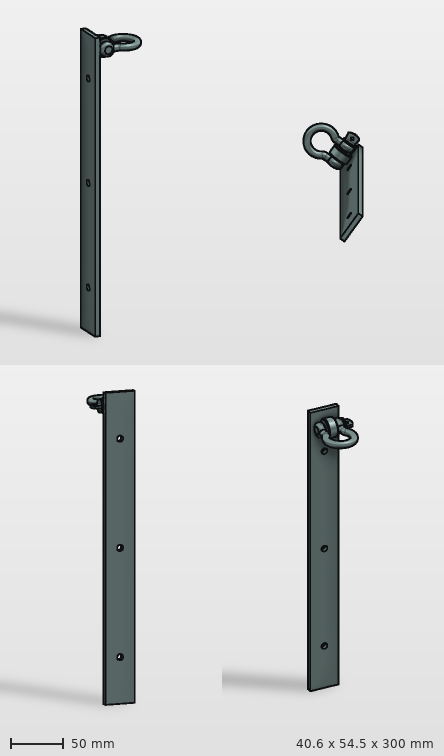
import cadquery as cq
import math

PLATE_WIDTH = 30.0
PLATE_THICKNESS = 5.0
PLATE_HEIGHT = 300.0
PLATE_HOLE_DIAMETER = 6.0
PLATE_HOLE_SPACING = 105.0

LUG_RADIUS = 10.0
LUG_WIDTH = 10.0
LUG_CHAMFER = 1.0

PIN_Y = PLATE_THICKNESS + LUG_RADIUS
PIN_Z = PLATE_HEIGHT - 15.0
PIN_RADIUS = 4.0

ROD_RADIUS = 3.5
BOW_RADIUS = 13.5
BOW_Y = 37.5
LEG_X = 9.5
BEND_RADIUS = 4.5
EYE_RADIUS = 7.5
EYE_WIDTH = 7.5
EYE_FILLET = 3.3

COLLAR_RADIUS = 6.5
COLLAR_THICKNESS = 1.65
TAB_THICKNESS = 2.5
TAB_LENGTH = 8.7
TAB_ROOT_WIDTH = 10.8
TAB_SHOULDER_WIDTH = 12.5
TAB_TIP_BULGE = 1.8
TAB_HOLE_DIAMETER = 2.7
TAB_HOLE_DISTANCE = 4.0
TAB_ROOT_FILLET = 1.05

EYE_OUTER_X = LEG_X + EYE_WIDTH / 2


def x_cylinder(radius, start_x, length):
    """Cylinder on the pin axis, running in +X from start_x."""
    return cq.Workplane("YZ", origin=(start_x, PIN_Y, PIN_Z)).circle(radius).extrude(length)


def make_plate():
    plate = cq.Workplane("XY").box(
        PLATE_WIDTH, PLATE_THICKNESS, PLATE_HEIGHT, centered=(True, False, False)
    )
    holes = (
        cq.Workplane("XZ", origin=(0, 0, PLATE_HEIGHT / 2))
        .rarray(3, PLATE_HOLE_SPACING, 1, 3)
        .circle(PLATE_HOLE_DIAMETER / 2)
        .extrude(-PLATE_THICKNESS)
    )
    return plate.cut(holes)


def make_lug():
    lug = x_cylinder(LUG_RADIUS, -LUG_WIDTH / 2, LUG_WIDTH).edges().chamfer(LUG_CHAMFER)
    return lug.cut(x_cylinder(PIN_RADIUS, -LUG_WIDTH / 2, LUG_WIDTH))


def make_rod():
    """Omega-shaped rod: leg, reverse bend, bow, reverse bend, leg, all tangent."""
    bend_x = LEG_X + BEND_RADIUS
    centre_distance = BOW_RADIUS + BEND_RADIUS
    bow_angle = math.acos(bend_x / centre_distance)
    bend_y = BOW_Y - centre_distance * math.sin(bow_angle)
    bow_end_x = BOW_RADIUS * math.cos(bow_angle)
    bow_end_y = BOW_Y - BOW_RADIUS * math.sin(bow_angle)
    bend_mid_x = bend_x - BEND_RADIUS * math.cos(bow_angle / 2)
    bend_mid_y = bend_y + BEND_RADIUS * math.sin(bow_angle / 2)
    path = (
        cq.Workplane("XY", origin=(0, 0, PIN_Z))
        .moveTo(-LEG_X, PIN_Y)
        .lineTo(-LEG_X, bend_y)
        .threePointArc((-bend_mid_x, bend_mid_y), (-bow_end_x, bow_end_y))
        .threePointArc((0, BOW_Y + BOW_RADIUS), (bow_end_x, bow_end_y))
        .threePointArc((bend_mid_x, bend_mid_y), (LEG_X, bend_y))
        .lineTo(LEG_X, PIN_Y)
    )
    return cq.Workplane("XZ", origin=(-LEG_X, PIN_Y, PIN_Z)).circle(ROD_RADIUS).sweep(path)


def make_shackle():
    shackle = make_rod()
    for leg_x in (-LEG_X, LEG_X):
        eye = x_cylinder(EYE_RADIUS, leg_x - EYE_WIDTH / 2, EYE_WIDTH)
        shackle = shackle.union(eye.edges().fillet(EYE_FILLET))
    return shackle.cut(x_cylinder(PIN_RADIUS, -EYE_OUTER_X, 2 * EYE_OUTER_X))


def make_pin():
    collar_face_x = -EYE_OUTER_X - COLLAR_THICKNESS
    tip_x = collar_face_x - TAB_LENGTH
    shoulder_x = tip_x + TAB_TIP_BULGE
    tab = (
        cq.Workplane("XY", origin=(0, PIN_Y, PIN_Z - TAB_THICKNESS / 2))
        .moveTo(collar_face_x, -TAB_ROOT_WIDTH / 2)
        .lineTo(collar_face_x, TAB_ROOT_WIDTH / 2)
        .lineTo(shoulder_x, TAB_SHOULDER_WIDTH / 2)
        .threePointArc((tip_x, 0), (shoulder_x, -TAB_SHOULDER_WIDTH / 2))
        .close()
        .extrude(TAB_THICKNESS)
    )
    tab_hole = (
        cq.Workplane("XY", origin=(collar_face_x - TAB_HOLE_DISTANCE, PIN_Y, PIN_Z - TAB_THICKNESS / 2))
        .circle(TAB_HOLE_DIAMETER / 2)
        .extrude(TAB_THICKNESS)
    )
    collar = x_cylinder(COLLAR_RADIUS, collar_face_x, COLLAR_THICKNESS)
    shaft = x_cylinder(PIN_RADIUS, -EYE_OUTER_X, 2 * EYE_OUTER_X)
    root_edges = cq.selectors.BoxSelector(
        (collar_face_x - TAB_ROOT_FILLET / 2, PIN_Y - TAB_ROOT_WIDTH / 4, PIN_Z - TAB_THICKNESS),
        (collar_face_x + TAB_ROOT_FILLET / 2, PIN_Y + TAB_ROOT_WIDTH / 4, PIN_Z + TAB_THICKNESS),
    )
    head = collar.union(tab).edges(root_edges).edges("|Y").fillet(TAB_ROOT_FILLET)
    return head.cut(tab_hole).union(shaft)


plate = make_plate()
lug = make_lug()
shackle = make_shackle()
pin = make_pin()

result = cq.Compound.makeCompound([plate.val(), lug.val(), shackle.val(), pin.val()])